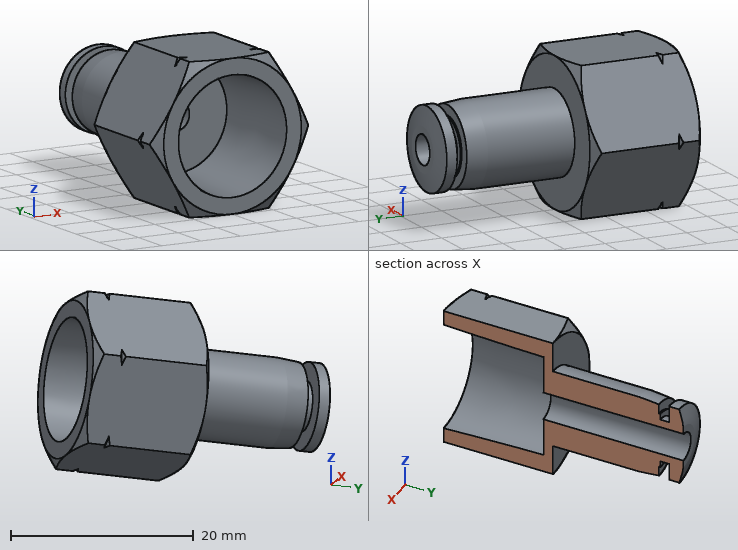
import cadquery as cq
import math

total_length = 29.6
across_flats = 17.45
nut_length = 13.5
chamfer_angle = math.radians(30)
corner_radius = across_flats / 2 / math.cos(math.pi / 6)
chamfer_length = (corner_radius - across_flats / 2) * math.tan(chamfer_angle)

groove_y = 3.02
groove_root_radius = 9.62
groove_half_width = 0.3

mouth_radius = 6.87
socket_end_radius = 6.48
socket_taper = 1 / 16
socket_depth = 2 * (mouth_radius - socket_end_radius) / socket_taper
hole_radius = 1.75

body_radius = 5.0
shoulder_end_radius = 4.77
collar_radius = 3.55
stem_radius = 2.8
button_radius = 4.9
button_face_radius = 2.65
shoulder_start_y = total_length - 5.5
shoulder_end_y = total_length - 3.02
collar_end_y = total_length - 2.85
button_start_y = total_length - 1.78
button_rim_y = total_length - 0.5
shoulder_bulge = 0.03
button_bulge = 0.05


def revolve(profile):
    return profile.close().revolve(360, (0, 0, 0), (0, 1, 0))


def midpoint(start, end, bulge):
    """Middle of an edge, moved by the bulge in both radius and height."""
    return ((start[0] + end[0]) / 2 + bulge, (start[1] + end[1]) / 2 + bulge)


def make_nut():
    flats_radius = across_flats / 2
    hexagon = (
        cq.Workplane("XZ")
        .polygon(6, 2 * corner_radius)
        .extrude(-nut_length)
    )
    envelope = revolve(
        cq.Workplane("XY")
        .moveTo(0, 0)
        .lineTo(flats_radius, 0)
        .lineTo(corner_radius, chamfer_length)
        .lineTo(corner_radius, groove_y - groove_half_width)
        .lineTo(groove_root_radius, groove_y)
        .lineTo(corner_radius, groove_y + groove_half_width)
        .lineTo(corner_radius, nut_length - chamfer_length)
        .lineTo(flats_radius, nut_length)
        .lineTo(0, nut_length)
    )
    return hexagon.intersect(envelope)


def make_tube_end():
    shoulder_start = (body_radius, shoulder_start_y)
    shoulder_end = (shoulder_end_radius, shoulder_end_y)
    button_rim = (button_radius, button_rim_y)
    button_face_edge = (button_face_radius, total_length)
    return revolve(
        cq.Workplane("XY")
        .moveTo(0, socket_depth)
        .lineTo(body_radius, socket_depth)
        .lineTo(*shoulder_start)
        .threePointArc(midpoint(shoulder_start, shoulder_end, shoulder_bulge), shoulder_end)
        .lineTo(collar_radius, shoulder_end_y)
        .lineTo(collar_radius, collar_end_y)
        .lineTo(stem_radius, collar_end_y)
        .lineTo(stem_radius, button_start_y)
        .lineTo(button_radius, button_start_y)
        .lineTo(*button_rim)
        .threePointArc(midpoint(button_rim, button_face_edge, button_bulge), button_face_edge)
        .lineTo(0, total_length)
    )


def make_socket():
    return revolve(
        cq.Workplane("XY")
        .moveTo(0, 0)
        .lineTo(mouth_radius, 0)
        .lineTo(socket_end_radius, socket_depth)
        .lineTo(0, socket_depth)
    )


through_hole = cq.Workplane("XZ").circle(hole_radius).extrude(-total_length)
result = make_nut().union(make_tube_end()).cut(make_socket()).cut(through_hole)